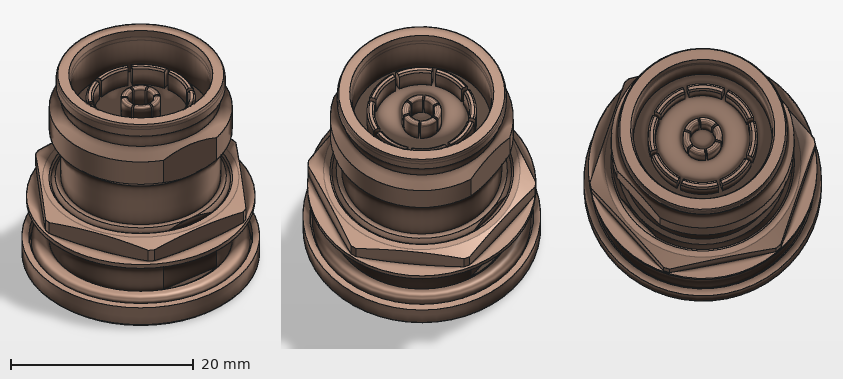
import cadquery as cq
import math

base_radius = 13.0
base_height = 2.8
base_chamfer = 0.5

shank_radius = 10.0
shank_top = 11.02
shank_chamfer = 0.65
flat_distance = 9.35

ring_section_radius = 1.0
ring_top = 3.3
ring_radius = shank_radius + ring_section_radius
ring_bottom = ring_top - 2 * ring_section_radius
groove_outer_radius = 12.22

neck_radius = 8.75
collar_bottom = 17.5
collar_top = 20.57
collar_slope_height = 1.2

rim_bottom = 23.53
rim_radius = 9.25
rim_taper_bottom = 24.62
rim_top_radius = 9.07
rim_blend_radius = 0.78
total_height = 25.0

mouth_radius = 7.88
mouth_depth = 0.9
mouth_blend_radius = 1.55
socket_radius = 7.62
socket_floor = 19.63

sleeve_top = 22.0
outer_sleeve_radius = 5.98
outer_sleeve_bore = 5.2
outer_sleeve_slots = 8
outer_sleeve_slot_width = 0.47
outer_sleeve_chamfer = 0.2
contact_radius = 2.15
contact_bore = 1.4
contact_slots = 6
contact_slot_width = 0.2
contact_fillet = 0.25

nut_bottom = 7.85
washer_thickness = 0.52
washer_radius = 12.5
nut_top = 10.8
nut_flat_distance = 11.0
nut_face_radius = 10.75
nut_chamfer_angle = 15.0
nut_bore_radius = 9.46
nut_mouth_radius = 10.04


def disc(radius, bottom, top):
    """Cylinder about the Z axis between two heights."""
    return cq.Workplane("XY").workplane(offset=bottom).circle(radius).extrude(top - bottom)


def turned(points):
    """Solid of revolution about the Z axis from (radius, height) points."""
    return cq.Workplane("XZ").polyline(points).close().revolve(360, (0, 0), (0, 1))


def round_circle_edge(solid, radius, height, blend_radius):
    """Fillet the circular edge of a turned solid that has a given radius and height."""
    tolerance = 0.003
    reach = radius + tolerance
    edges = solid.edges(cq.selectors.BoxSelector(
        (-reach, -reach, height - tolerance),
        (reach, reach, height + tolerance),
        boundingbox=True,
    ))
    return edges.fillet(blend_radius)


def housing_blank():
    """Turned outside of the housing, from the base flange to the rim."""
    blank = turned([
        (0, 0),
        (base_radius - base_chamfer, 0),
        (base_radius, base_chamfer),
        (base_radius, base_height),
        (shank_radius, base_height),
        (shank_radius, shank_top - shank_chamfer),
        (shank_radius - shank_chamfer, shank_top),
        (neck_radius, shank_top),
        (neck_radius, collar_bottom - collar_slope_height),
        (shank_radius, collar_bottom),
        (shank_radius, collar_top),
        (neck_radius, collar_top + collar_slope_height),
        (neck_radius, rim_bottom),
        (rim_radius, rim_bottom),
        (rim_radius, rim_taper_bottom),
        (rim_top_radius, total_height),
        (0, total_height),
    ])
    return round_circle_edge(blank, rim_radius, rim_taper_bottom, rim_blend_radius)


def flat_cutters():
    """Blocks that leave two flats across X on the shank and the collar."""
    depth = base_radius - flat_distance
    height = rim_bottom - base_height
    offset = flat_distance + depth / 2
    middle = base_height + height / 2
    block = cq.Workplane("XY").box(depth, 2 * base_radius, height)
    return block.translate((-offset, 0, middle)).union(block.translate((offset, 0, middle)))


def socket():
    """Space inside the neck, with a tapered mouth blended into the straight wall."""
    mouth_bottom = total_height - mouth_depth
    space = turned([
        (0, socket_floor),
        (socket_radius, socket_floor),
        (socket_radius, mouth_bottom),
        (mouth_radius, total_height),
        (0, total_height),
    ])
    return round_circle_edge(space, socket_radius, mouth_bottom, mouth_blend_radius)


def slot_sleeve(sleeve, count, width, radius, first_angle):
    """Cut evenly spaced radial slots through the wall of a sleeve."""
    for i in range(count):
        slot = cq.Workplane("XY").box(2 * radius, width, sleeve_top, centered=(False, True, False))
        turn = first_angle + i * 360 / count
        sleeve = sleeve.cut(slot.translate((0, 0, socket_floor)).rotate((0, 0, 0), (0, 0, 1), turn))
    return sleeve


def outer_sleeve():
    """Chamfered sleeve split into wide fingers, with one finger centred on +X."""
    sleeve = disc(outer_sleeve_radius, socket_floor, sleeve_top)
    sleeve = sleeve.cut(disc(outer_sleeve_bore, socket_floor, sleeve_top))
    sleeve = sleeve.faces(">Z").edges().chamfer(outer_sleeve_chamfer)
    half_pitch = 180 / outer_sleeve_slots
    return slot_sleeve(sleeve, outer_sleeve_slots, outer_sleeve_slot_width, outer_sleeve_radius, half_pitch)


def contact():
    """Small rounded sleeve at the centre, split into narrow fingers."""
    sleeve = disc(contact_radius, socket_floor, sleeve_top)
    sleeve = sleeve.cut(disc(contact_bore, socket_floor, sleeve_top))
    sleeve = sleeve.faces(">Z").edges().fillet(contact_fillet)
    return slot_sleeve(sleeve, contact_slots, contact_slot_width, contact_radius, 0)


def hex_nut():
    """Chamfered hexagon nut and its washer flange, with a countersunk bore."""
    washer_top = nut_bottom + washer_thickness
    hexagon = (
        cq.Workplane("XY")
        .workplane(offset=washer_top)
        .polygon(6, 2 * nut_flat_distance, circumscribed=True)
        .extrude(nut_top - washer_top)
    )
    chamfer_drop = (washer_radius - nut_face_radius) * math.tan(math.radians(nut_chamfer_angle))
    envelope = turned([
        (0, washer_top),
        (nut_face_radius, washer_top),
        (washer_radius, washer_top + chamfer_drop),
        (washer_radius, nut_top - chamfer_drop),
        (nut_face_radius, nut_top),
        (0, nut_top),
    ])
    nut = hexagon.intersect(envelope).union(disc(washer_radius, nut_bottom, washer_top))
    countersink_depth = nut_mouth_radius - nut_bore_radius
    bore = turned([
        (0, nut_bottom),
        (nut_bore_radius, nut_bottom),
        (nut_bore_radius, nut_top - countersink_depth),
        (nut_mouth_radius, nut_top),
        (0, nut_top),
    ])
    return nut.cut(bore)


def ring_groove():
    """Annular groove around the foot of the shank."""
    return disc(groove_outer_radius, ring_bottom, base_height).cut(disc(shank_radius, ring_bottom, base_height))


def make_housing():
    """Housing with its flange, nut and slotted sleeves, all one body."""
    shell = housing_blank().cut(flat_cutters()).cut(ring_groove()).cut(socket())
    return shell.union(outer_sleeve()).union(contact()).union(hex_nut())


def make_sealing_ring():
    """Round-section ring about the Z axis."""
    return (
        cq.Workplane("XZ")
        .center(ring_radius, ring_top - ring_section_radius)
        .circle(ring_section_radius)
        .revolve(360, (-ring_radius, 0), (-ring_radius, 1))
    )


housing = make_housing()
sealing_ring = make_sealing_ring()

result = cq.Compound.makeCompound([housing.val(), sealing_ring.val()])